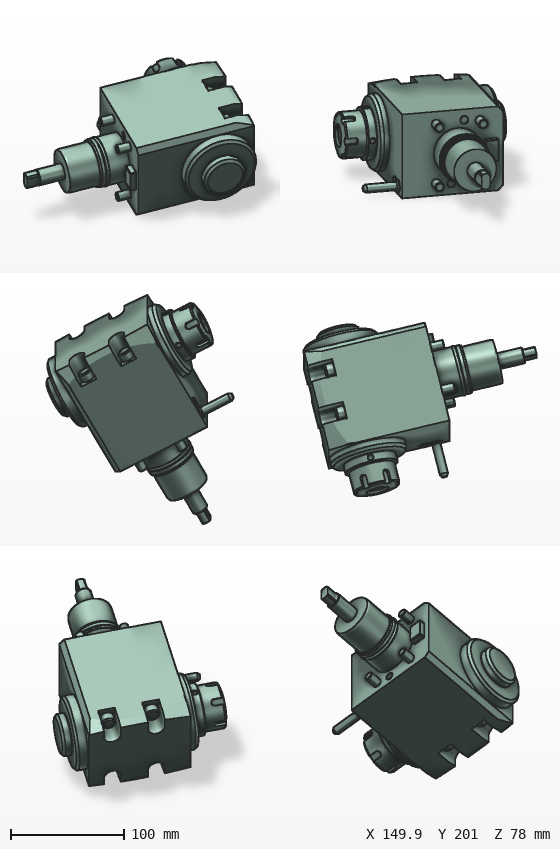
import cadquery as cq
import math


block_left = -51.3
block_right = 41.6
block_length = 110.0
block_height = 78.0
half_height = block_height / 2
right_chamfer = 4.8
edge_chamfer_width = 0.6
edge_chamfer_height = 1.2

cone_x = -4.0
cone_y = 4.0
cone_radius = 99.5
cone_angle = 15
cone_depth = 8.0

spindle_y = 75.0
flange_radius = 34.5
flange_left = -59.0
flange_chamfer_length = 3.0
flange_chamfer_height = 1.8
cover_radius = 33.8
cover_right = 52.0
cover_chamfer = 2.5
knob_radius = 19.0
knob_right = 61.1
knob_chamfer = 2.5
knob_neck_radius = 18.0
knob_neck_length = 0.6

nose_left = -88.8
neck_radius = 17.3
ring_left = -67.5
ring_right = -59.7
ring_radius = 24.0
ring_chamfer = 0.5
ring_hole_radius = 2.6
ring_hole_depth = 2.0
ring_hole_tip_depth = 3.6
ring_hole_count = 4
nut_right = -68.3
nut_radius = 21.0
nut_face_radius = 14.9
nut_rim_radius = 20.0
nut_cone_length = 1.5
nut_rim_length = 1.5
collet_radius = 10.3
collet_depth = 2.8
wrench_slot_width = 6.0
wrench_slot_end = -76.2
wrench_slot_floor = 17.7
wrench_slot_count = 6

collar_radius = 22.1
collar_end = -28.0
collar_chamfer_length = 1.8
collar_chamfer_height = 0.6
oring_groove_radius = 20.0
oring_groove_start = -19.3
oring_groove_end = -22.7
oring_section_radius = 1.5
oring_outer_radius = 22.7
shank_radius = 20.0
shank_end = -56.3
shank_chamfer_length = 2.2
shank_chamfer_height = 0.6
shaft_radius = 7.2
shaft_end = -91.0
shaft_shoulder = -79.8
shoulder_chamfer = 0.6
tang_thickness = 8.0
tang_flat_half_height = 5.0
tang_crown_half_thickness = 2.6
tang_root_fillet = 1.2

screw_x = 20.0
screw_z = 27.5
screw_radius = 4.0
screw_length = 12.0
screw_chamfer = 0.6
head_radius = 6.6
head_length = 8.0
head_chamfer = 1.2
pocket_radius = 7.6
pocket_floor = 87.6

key_x = 30.2
key_width = 12.3
key_height = 20.0
key_length = 5.6
key_chamfer = 0.6
dowel_x = 6.0
dowel_z = 29.0
dowel_radius = 3.6
dowel_depth = 1.0

fitting_z = -31.0
fitting_radius = 5.6
fitting_height = 0.8
pin_y = 12.5
pin_radius = 3.8
pin_left = -83.6
pin_tip_radius = 2.2
pin_tip_length = 2.6
pin_flare_length = 1.5
plug_y = 22.3
plug_hole_radius = 1.6
plug_hole_depth = 1.6


def turned_about_spindle(profile):
    """Revolve (x, radius) points about the spindle axis."""
    outline = cq.Workplane("XY").polyline(profile).close()
    return outline.revolve(360, (0, 0, 0), (1, 0, 0)).translate((0, spindle_y, 0))


def turned_about_shank(profile):
    """Revolve (radius, y) points about the shank axis."""
    return cq.Workplane("XY").polyline(profile).close().revolve(360, (0, 0, 0), (0, 1, 0))


def rod_along_y(x, z, radius, y_start, y_end):
    rod = cq.Workplane("XZ").circle(radius).extrude(y_start - y_end)
    return rod.translate((x, y_start, z))


def make_block():
    block = cq.Workplane("XY").box(
        block_right - block_left, block_length, block_height, centered=False
    ).translate((block_left, 0, -half_height))
    block = block.edges("|Y and >X").chamfer(right_chamfer)

    wide_radius = cone_radius + cone_depth / math.tan(math.radians(cone_angle))
    reach = 2 * wide_radius
    trim = (
        cq.Workplane("XZ")
        .moveTo(cone_radius, half_height)
        .lineTo(wide_radius, half_height - cone_depth)
        .lineTo(reach, half_height - cone_depth)
        .lineTo(reach, half_height)
        .close()
        .revolve(360, (0, 0, 0), (0, 1, 0))
        .translate((cone_x, cone_y, 0))
    )

    edge_wedge = (
        cq.Workplane("XZ", origin=(0, block_length, 0))
        .moveTo(block_left, half_height)
        .lineTo(block_left + edge_chamfer_width, half_height)
        .lineTo(block_left, half_height - edge_chamfer_height)
        .close()
        .extrude(block_length - pocket_floor)
    )
    for cutter in (trim, edge_wedge):
        block = block.cut(cutter).cut(cutter.mirror("XY"))
    return block


def make_flange():
    return turned_about_spindle([
        (block_left, 0),
        (flange_left, 0),
        (flange_left, flange_radius - flange_chamfer_height),
        (flange_left + flange_chamfer_length, flange_radius),
        (block_left, flange_radius),
    ])


def make_rear_cover():
    neck_end = cover_right + knob_neck_length
    return turned_about_spindle([
        (block_right, 0),
        (block_right, cover_radius),
        (cover_right - cover_chamfer, cover_radius),
        (cover_right, cover_radius - cover_chamfer),
        (cover_right, knob_neck_radius),
        (neck_end, knob_neck_radius),
        (neck_end, knob_radius),
        (knob_right - knob_chamfer, knob_radius),
        (knob_right, knob_radius - knob_chamfer),
        (knob_right, 0),
    ])


def make_shank():
    shank = turned_about_shank([
        (0, 0),
        (collar_radius, 0),
        (collar_radius, oring_groove_start),
        (oring_groove_radius, oring_groove_start),
        (oring_groove_radius, oring_groove_end),
        (collar_radius, oring_groove_end),
        (collar_radius, collar_end + collar_chamfer_length),
        (collar_radius - collar_chamfer_height, collar_end),
        (shank_radius, collar_end),
        (shank_radius, shank_end + shank_chamfer_length),
        (shank_radius - shank_chamfer_height, shank_end),
        (0, shank_end),
    ])
    oring = (
        cq.Workplane("XY")
        .center(oring_outer_radius - oring_section_radius, oring_groove_start - oring_section_radius)
        .circle(oring_section_radius)
        .revolve(
            360,
            (oring_section_radius - oring_outer_radius, 0, 0),
            (oring_section_radius - oring_outer_radius, 1, 0),
        )
    )
    return shank.union(oring)


def make_drive_shaft():
    half_tang = tang_thickness / 2
    body = rod_along_y(0, 0, shaft_radius, shank_end, shaft_shoulder)
    body = body.faces("<Y").chamfer(shoulder_chamfer)

    root = half_tang + tang_root_fillet
    fillet_end = shaft_shoulder - tang_root_fillet
    bulge = tang_root_fillet * (1 - math.sqrt(0.5))
    root_plan = (
        cq.Workplane("XY", origin=(0, 0, -shaft_radius))
        .moveTo(-root, shaft_shoulder)
        .threePointArc((-half_tang - bulge, shaft_shoulder - bulge), (-half_tang, fillet_end))
        .lineTo(half_tang, fillet_end)
        .threePointArc((half_tang + bulge, shaft_shoulder - bulge), (root, shaft_shoulder))
        .close()
        .extrude(2 * shaft_radius)
    )
    root_solid = rod_along_y(0, 0, shaft_radius, shaft_shoulder, fillet_end).intersect(root_plan)

    section = (
        cq.Workplane("XZ", origin=(0, shaft_shoulder, 0))
        .polyline([
            (half_tang, -tang_flat_half_height),
            (half_tang, tang_flat_half_height),
            (tang_crown_half_thickness, shaft_radius),
            (-tang_crown_half_thickness, shaft_radius),
            (-half_tang, tang_flat_half_height),
            (-half_tang, -tang_flat_half_height),
            (-tang_crown_half_thickness, -shaft_radius),
            (tang_crown_half_thickness, -shaft_radius),
        ])
        .close()
        .extrude(shaft_shoulder - shaft_end)
    )
    tang = rod_along_y(0, 0, shaft_radius, shaft_shoulder, shaft_end).intersect(section)
    return body.union(root_solid).union(tang)


def make_screw_pocket(x, side):
    """Pocket around a screw head; side is +1 for the top face and -1 for the bottom face."""
    length = block_length - pocket_floor
    round_floor = rod_along_y(x, side * screw_z, pocket_radius, block_length, pocket_floor)
    open_part = cq.Workplane("XY").box(2 * pocket_radius, length, half_height - screw_z)
    return round_floor.union(
        open_part.translate((x, pocket_floor + length / 2, side * (half_height + screw_z) / 2))
    )


def make_screw_head(x, side):
    head = rod_along_y(x, side * screw_z, head_radius, pocket_floor + head_length, pocket_floor)
    return head.faces(">Y").chamfer(head_chamfer)


def make_screw_tip(x, side):
    tip = rod_along_y(x, side * screw_z, screw_radius, 0, -screw_length)
    return tip.faces("<Y").chamfer(screw_chamfer)


def make_key():
    key = cq.Workplane("XY").box(key_width, key_length, key_height)
    key = key.faces("<Y").chamfer(key_chamfer).edges("|Y").chamfer(key_chamfer)
    return key.translate((key_x, -key_length / 2, 0))


def make_coolant_pin():
    base_left = block_left - fitting_height
    outline = cq.Workplane("XY").polyline([
        (block_left, 0),
        (block_left, fitting_radius),
        (base_left, fitting_radius),
        (base_left - pin_flare_length, pin_radius),
        (pin_left + pin_tip_length, pin_radius),
        (pin_left, pin_tip_radius),
        (pin_left, 0),
    ]).close()
    return outline.revolve(360, (0, 0, 0), (1, 0, 0)).translate((0, pin_y, fitting_z))


def make_plug():
    plug = cq.Workplane("YZ").circle(fitting_radius).extrude(-fitting_height)
    return plug.translate((block_left, plug_y, fitting_z))


def make_plug_hole():
    hole = cq.Workplane("YZ").circle(plug_hole_radius).extrude(plug_hole_depth)
    return hole.translate((block_left - fitting_height, plug_y, fitting_z))


def make_housing():
    housing = make_block()
    for part in (make_flange(), make_rear_cover(), make_shank(), make_drive_shaft(), make_key()):
        housing = housing.union(part)
    for side in (1, -1):
        for x in (-screw_x, screw_x):
            housing = housing.cut(make_screw_pocket(x, side))
            housing = housing.union(make_screw_head(x, side))
            housing = housing.union(make_screw_tip(x, side))
        housing = housing.cut(rod_along_y(side * dowel_x, side * dowel_z, dowel_radius, dowel_depth, 0))
    housing = housing.union(make_plug()).cut(make_plug_hole())
    return housing.union(make_coolant_pin())


def make_wrench_slot():
    """Round-ended slot cut into the nut at its -Y side, with a flat floor."""
    half_width = wrench_slot_width / 2
    depth = nut_radius - wrench_slot_floor
    length = wrench_slot_end - half_width - nose_left
    straight = cq.Workplane("XY").box(length, depth, wrench_slot_width, centered=(False, False, True))
    round_end = cq.Workplane("XZ").center(length, 0).circle(half_width).extrude(-depth)
    return straight.union(round_end).translate((nose_left, -nut_radius, 0))


def make_ring_hole():
    """Drilled hole with a conical bottom, going into the ring from its -Y side."""
    profile = cq.Workplane("XY").polyline([
        (0, -ring_radius),
        (ring_hole_radius, -ring_radius),
        (ring_hole_radius, ring_hole_depth - ring_radius),
        (0, ring_hole_tip_depth - ring_radius),
    ]).close()
    hole = profile.revolve(360, (0, 0, 0), (0, 1, 0))
    return hole.translate(((ring_left + ring_right) / 2, 0, 0))


def cut_around_spindle(body, cutter, count):
    """Cut equally spaced copies of a cutter that is placed relative to the spindle axis."""
    for i in range(count):
        turned = cutter.rotate((0, 0, 0), (1, 0, 0), i * 360 / count)
        body = body.cut(turned.translate((0, spindle_y, 0)))
    return body


def make_spindle_nose():
    rim_x = nose_left + nut_cone_length
    collet_floor = nose_left + collet_depth
    nose = turned_about_spindle([
        (flange_left, 0),
        (flange_left, neck_radius),
        (ring_right, neck_radius),
        (ring_right, ring_radius - ring_chamfer),
        (ring_right - ring_chamfer, ring_radius),
        (ring_left + ring_chamfer, ring_radius),
        (ring_left, ring_radius - ring_chamfer),
        (ring_left, neck_radius),
        (nut_right, neck_radius),
        (nut_right, nut_radius),
        (rim_x + nut_rim_length, nut_radius),
        (rim_x, nut_rim_radius),
        (nose_left, nut_face_radius),
        (nose_left, collet_radius),
        (collet_floor, collet_radius),
        (collet_floor, 0),
    ])

    nose = cut_around_spindle(nose, make_wrench_slot(), wrench_slot_count)
    return cut_around_spindle(nose, make_ring_hole(), ring_hole_count)


housing = make_housing()
spindle_nose = make_spindle_nose()
result = cq.Compound.makeCompound([housing.val(), spindle_nose.val()])